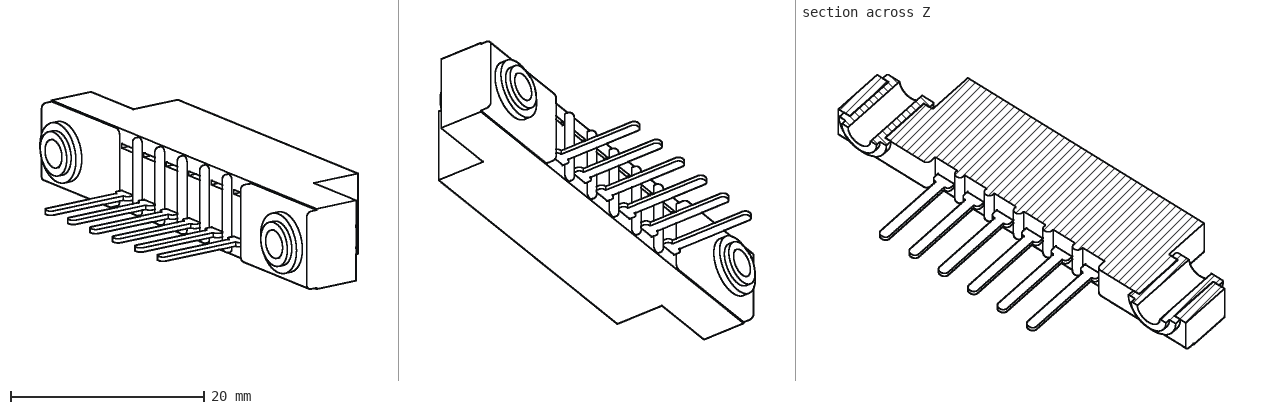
import cadquery as cq


LENGTH = 46.8
HEIGHT = 8.7
NOSE_LENGTH = 31.8
EAR_BACK_Y = -5.65
FRONT_Y = -10.7

PAD_LENGTH = 12.03
PAD_DEPTH = 1.25
RAISED_HEIGHT = 8.4
PAD_ROUNDING = 0.55
RIB_WIDTH = 1.08
RIB_DEPTH = 0.7
RIB_ROUNDING = 0.5

CONTACT_COUNT = 6
CONTACT_ROW_SPAN = 19.8
CONTACT_PITCH = CONTACT_ROW_SPAN / (CONTACT_COUNT - 1)
CONTACT_THICKNESS = 0.45
ROW_OFFSET = 2.55
HEAD_WIDTH = 2.25
HEAD_PROJECTION = 1.0
HEAD_ROUNDING = 0.45
TAIL_WIDTH = 1.15
TAIL_ROUNDING = 0.5
TAIL_END_Y = -21.1

BUSHING_X = 19.45
BUSHING_FLANGE_DIAMETER = 6.35
BUSHING_BODY_DIAMETER = 4.7
BUSHING_BORE_DIAMETER = 3.0
BUSHING_FLANGE_THICKNESS = 0.75
BUSHING_BOSS_HEIGHT = 0.55
BUSHING_REAR_ROUNDING = 0.2

PAD_FRONT_Y = FRONT_Y - PAD_DEPTH
HEAD_END_Y = FRONT_Y - HEAD_PROJECTION
CONTACT_XS = [i * CONTACT_PITCH - CONTACT_ROW_SPAN / 2 for i in range(CONTACT_COUNT)]
RIB_XS = [x + CONTACT_PITCH / 2 for x in CONTACT_XS[:-1]]


def block(x_start, x_end, y_front, y_back, height, z_mid=0.0):
    """Box between two X and two Y positions, centred on z_mid."""
    return (
        cq.Workplane("XY")
        .box(x_end - x_start, y_back - y_front, height, centered=False)
        .translate((x_start, y_front, z_mid - height / 2))
    )


def y_cylinder(x, diameter, y_front, y_back):
    """Cylinder along Y through mid height."""
    return (
        cq.Workplane("XZ", origin=(x, y_back, 0))
        .circle(diameter / 2)
        .extrude(y_back - y_front)
    )


def make_pad():
    """Left pad: rounded all over except at the outer end and where it joins the housing."""
    left = -LENGTH / 2
    pad = block(left, left + PAD_LENGTH, PAD_FRONT_Y, FRONT_Y, RAISED_HEIGHT)
    rounded_edges = (
        pad.faces("<Y").edges("|X")
        .add(pad.faces("<Y").edges(">X"))
        .add(pad.faces(">X").edges("|Y"))
    )
    return pad.newObject(rounded_edges.vals()).fillet(PAD_ROUNDING)


def make_rib(x):
    """Rib with rounded ends and front, square where it joins the housing."""
    rib = block(x - RIB_WIDTH / 2, x + RIB_WIDTH / 2, FRONT_Y - RIB_DEPTH, FRONT_Y, RAISED_HEIGHT)
    return rib.edges("not(>Y)").fillet(RIB_ROUNDING)


def contact_blade(x, z, y_back):
    """Flat bar that fills a contact passage from the front face back to y_back."""
    return block(x - HEAD_WIDTH / 2, x + HEAD_WIDTH / 2, FRONT_Y, y_back, CONTACT_THICKNESS, z)


def make_housing():
    half = LENGTH / 2
    housing = block(-half, half, FRONT_Y, EAR_BACK_Y, HEIGHT)
    housing = housing.union(block(-NOSE_LENGTH / 2, NOSE_LENGTH / 2, EAR_BACK_Y, 0, HEIGHT))

    pad = make_pad()
    housing = housing.union(pad).union(pad.mirror("YZ"))
    for x in RIB_XS:
        housing = housing.union(make_rib(x))

    for x in CONTACT_XS:
        housing = housing.cut(contact_blade(x, ROW_OFFSET, 0))
        housing = housing.cut(contact_blade(x, -ROW_OFFSET, EAR_BACK_Y))

    for x in (-BUSHING_X, BUSHING_X):
        housing = housing.cut(y_cylinder(x, BUSHING_BODY_DIAMETER, PAD_FRONT_Y, EAR_BACK_Y))
    return housing


def make_contact(x):
    """Blade in the housing, a rounded head in front of it and a narrow solder tail."""
    z = -ROW_OFFSET
    half_head = HEAD_WIDTH / 2
    half_tail = TAIL_WIDTH / 2
    head = block(x - half_head, x + half_head, HEAD_END_Y, EAR_BACK_Y, CONTACT_THICKNESS, z)
    head = head.edges("|Z and <Y").fillet(HEAD_ROUNDING)
    tail = block(x - half_tail, x + half_tail, TAIL_END_Y, FRONT_Y, CONTACT_THICKNESS, z)
    tail = tail.edges("|Z and <Y").fillet(TAIL_ROUNDING)
    return head.union(tail)


def make_bushing(x):
    """Tube through the ear with a flange on each side and a short boss in front."""
    flange_front_y = PAD_FRONT_Y - BUSHING_FLANGE_THICKNESS
    rear_y = EAR_BACK_Y + BUSHING_FLANGE_THICKNESS
    boss_y = flange_front_y - BUSHING_BOSS_HEIGHT
    rear_flange = y_cylinder(x, BUSHING_FLANGE_DIAMETER, EAR_BACK_Y, rear_y)
    rear_flange = rear_flange.edges(">Y").fillet(BUSHING_REAR_ROUNDING)
    return (
        y_cylinder(x, BUSHING_BODY_DIAMETER, boss_y, EAR_BACK_Y)
        .union(y_cylinder(x, BUSHING_FLANGE_DIAMETER, flange_front_y, PAD_FRONT_Y))
        .union(rear_flange)
        .cut(y_cylinder(x, BUSHING_BORE_DIAMETER, boss_y, rear_y))
    )


housing = make_housing()
contacts = [make_contact(x) for x in CONTACT_XS]
bushings = [make_bushing(x) for x in (-BUSHING_X, BUSHING_X)]

result = cq.Compound.makeCompound(
    [housing.val()] + [contact.val() for contact in contacts] + [bushing.val() for bushing in bushings]
)